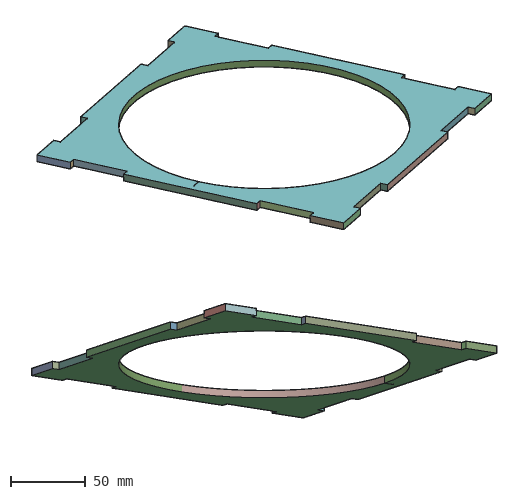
import cadquery as cq

length = 230.0
width = 220.0
thickness = 5.0
bore_diameter = 195.0

slit_width = 0.12
slit_length = 7.1

corner_length = 25.0
notch_length = 40.0
notch_depth = thickness


def edge_notches(side_length, across):
    """Four notch cutters along the two opposite edges parallel to X."""
    notch_offset = side_length / 2 - corner_length - notch_length / 2
    edge_offset = across / 2 - notch_depth / 2
    centers = [(sx * notch_offset, sy * edge_offset) for sx in (-1, 1) for sy in (-1, 1)]
    return (
        cq.Workplane("XY")
        .pushPoints(centers)
        .rect(notch_length, notch_depth)
        .extrude(thickness)
    )


plate = cq.Workplane("XY").rect(length, width).extrude(thickness)
bore = cq.Workplane("XY").circle(bore_diameter / 2).extrude(thickness)

slit_reach = bore_diameter / 2 + slit_length
slit = (
    cq.Workplane("XY")
    .center(0, -slit_reach / 2)
    .rect(slit_width, slit_reach)
    .extrude(thickness)
)

front_and_back_notches = edge_notches(length, width)
left_and_right_notches = edge_notches(width, length).rotate((0, 0, 0), (0, 0, 1), 90)

result = plate.cut(bore).cut(slit).cut(front_and_back_notches).cut(left_and_right_notches)